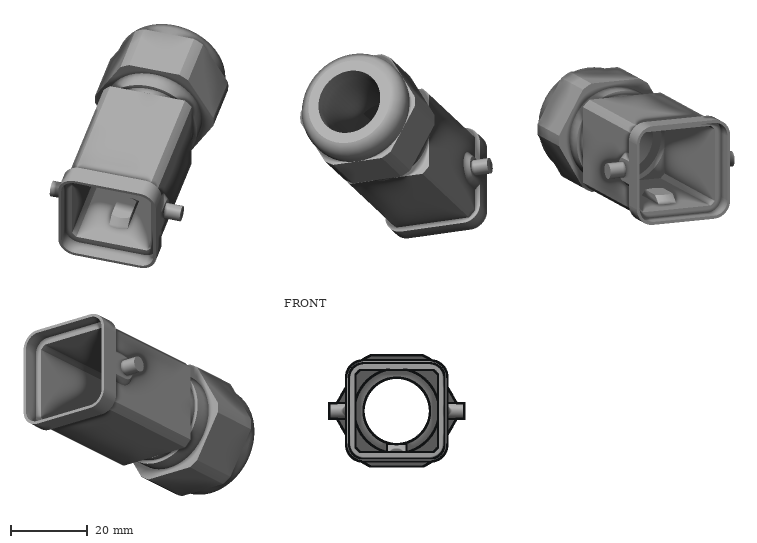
import cadquery as cq
import math


total_length = 65.0
rim_length = 5.2
body_end = 38.55
neck_end = 40.25
nut_start = 44.9
nut_end = 59.1
dome_start = 61.05

body_width = 23.8
body_corner_diameter = 31.2
rim_width = 26.4
rim_corner_radius = 4.55
rim_wall = 0.8
rim_recess_depth = 4.2

cavity_width = 21.3
cavity_corner_diameter = 28.6
end_wall = 1.2
cavity_end = body_end - end_wall

neck_diameter = 23.9
collar_diameter = 25.9
nut_across_flats = 29.0
nut_corner_diameter = 32.0
dome_diameter = nut_across_flats
dome_arc_radius = 4.1
thread_bore_diameter = 22.05
cable_hole_diameter = 17.2

peg_y = 9.2
pin_diameter = 4.1
pin_span = 35.1
lug_base_radius = 4.35
lug_top_radius = 3.05

stop_width = 4.95
stop_height = 2.0
stop_axis_y = 16.2
stop_base_radius = 6.05
stop_top_radius = 3.95


def cylinder(diameter, start, end):
    """Round bar along Y."""
    sketch = cq.Workplane("XZ", origin=(0, start, 0)).circle(diameter / 2)
    return sketch.extrude(start - end)


def square_bar(width, start, end):
    """Square bar along Y."""
    sketch = cq.Workplane("XZ", origin=(0, start, 0)).rect(width, width)
    return sketch.extrude(start - end)


def turned_square_bar(width, corner_diameter, start, end):
    """Square bar whose corners are turned down to a cylinder about the Y axis."""
    return square_bar(width, start, end).intersect(cylinder(corner_diameter, start, end))


def housing():
    """Solid square body with the rounded rim around its open end."""
    body = turned_square_bar(body_width, body_corner_diameter, 0, body_end)
    rim = square_bar(rim_width, 0, rim_length).edges("|Y").fillet(rim_corner_radius)
    return body.union(rim)


def hex_nut():
    """Hexagon with flats at top and bottom and corners turned down to a cylinder."""
    start_plane = cq.Workplane("XZ", origin=(0, nut_start, 0))
    hexagon = start_plane.polygon(6, nut_across_flats, circumscribed=True).extrude(nut_start - nut_end)
    flats_up = hexagon.rotate((0, 0, 0), (0, 1, 0), 30)
    corners = cylinder(nut_corner_diameter, nut_start, nut_end)
    return flats_up.intersect(corners)


def dome():
    """Cap whose edge is an arc that starts tangent to its cylindrical side."""
    radius = dome_diameter / 2
    rise = total_length - dome_start
    arc_center = radius - dome_arc_radius
    end_angle = math.asin(rise / dome_arc_radius)

    def arc_point(angle):
        return (
            arc_center + dome_arc_radius * math.cos(angle),
            dome_start + dome_arc_radius * math.sin(angle),
        )

    return (
        cq.Workplane("XY")
        .moveTo(0, nut_end)
        .lineTo(radius, nut_end)
        .lineTo(radius, dome_start)
        .threePointArc(arc_point(end_angle / 2), arc_point(end_angle))
        .lineTo(0, total_length)
        .close()
        .revolve(360, (0, 0, 0), (0, 1, 0))
    )


def gland():
    neck = cylinder(neck_diameter, body_end, neck_end)
    collar = cylinder(collar_diameter, neck_end, nut_start)
    return neck.union(collar).union(hex_nut()).union(dome())


def peg():
    """Lug and pin on the +X side; the lug runs into the rim."""
    body_face = body_width / 2
    lug_height = (rim_width - body_width) / 2
    lug_taper = math.degrees(math.atan((lug_base_radius - lug_top_radius) / lug_height))
    lug = (
        cq.Workplane("YZ", origin=(body_face, 0, 0))
        .moveTo(0, -lug_base_radius)
        .lineTo(peg_y, -lug_base_radius)
        .threePointArc((peg_y + lug_base_radius, 0), (peg_y, lug_base_radius))
        .lineTo(0, lug_base_radius)
        .close()
        .extrude(lug_height, taper=lug_taper)
    )
    pin_length = pin_span / 2 - body_face
    pin = cq.Workplane("YZ", origin=(body_face, peg_y, 0)).circle(pin_diameter / 2).extrude(pin_length)
    return lug.union(pin)


def interior():
    """Rim recess, square cavity, bore through the end wall and neck, and the cable hole."""
    recess_width = rim_width - 2 * rim_wall
    recess_radius = rim_corner_radius - rim_wall
    recess = square_bar(recess_width, 0, rim_recess_depth).edges("|Y").fillet(recess_radius)
    cavity = turned_square_bar(cavity_width, cavity_corner_diameter, 0, cavity_end)
    thread_bore = cylinder(thread_bore_diameter, cavity_end, neck_end)
    cable_hole = cylinder(cable_hole_diameter, neck_end, total_length)
    return recess.union(cavity).union(thread_bore).union(cable_hole)


def floor_stop():
    """Frustum standing on the cavity floor, trimmed to the stop width."""
    floor_center = cq.Vector(0, stop_axis_y, -cavity_width / 2)
    up = cq.Vector(0, 0, 1)
    frustum = cq.Solid.makeCone(stop_base_radius, stop_top_radius, stop_height, floor_center, up)
    trim = (
        cq.Workplane("XY", origin=floor_center.toTuple())
        .rect(stop_width, 2 * stop_base_radius)
        .extrude(stop_height)
    )
    return trim.intersect(cq.Workplane(frustum))


right_peg = peg()
left_peg = right_peg.mirror("YZ")
outside = housing().union(right_peg).union(left_peg).union(gland())
result = outside.cut(interior()).union(floor_stop())